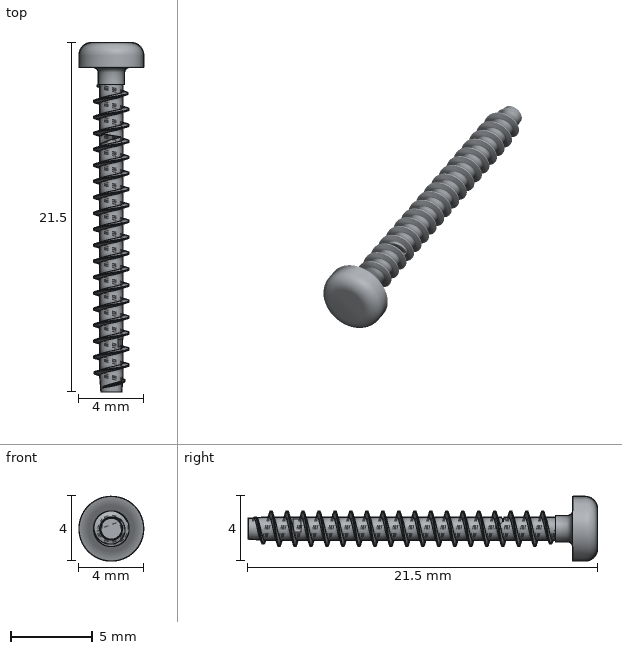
import cadquery as cq
import math

length = 21.5

head_radius = 2.0
head_height = 1.55
head_round = 0.8
head_edge_round = 0.06
neck_radius = 0.82
neck_fillet = 0.3
neck_end = 2.6

core_diameter = 1.45
core_radius = core_diameter / 2
tip_radius = 0.65
tip_taper_start = 20.53

counted_turns = 17
counted_length = 16.7
pitch = counted_length / counted_turns
thread_radius = 1.1
thread_start_radius = 0.88
core_overlap = 0.13
root_radius = core_radius - core_overlap
crest_width = 0.06
root_width = 0.32
first_crest = 2.15
thread_start = 2.67
full_thread_start = 3.38
taper_start = 20.25
thread_end = 21.3
thread_end_radius = 0.62
turns_per_piece = 0.9
segment_points = 25

notch_apex_x = 0.7
notch_outer_x = -0.97
notch_apex = 5.8
notch_near = 5.55
notch_far = 6.4
notch_floor = 0.24
notch_floor_angle = 20.0

flat_start = 18.25
flat_length = 0.47
flat_distance = 0.58
flat_angle = 20.0

cutter_size = 4 * core_radius


def make_body():
    """Revolve the head, filleted neck, core and tapered tip."""
    diagonal = math.sqrt(0.5)
    edge_end = head_height - head_edge_round
    profile = (
        cq.Workplane("XZ")
        .lineTo(head_radius - head_round, 0)
        .radiusArc((head_radius, head_round), -head_round)
        .lineTo(head_radius, edge_end)
        .radiusArc((head_radius - head_edge_round, head_height), -head_edge_round)
        .lineTo(neck_radius + neck_fillet, head_height)
        .threePointArc(
            (
                neck_radius + neck_fillet * (1 - diagonal),
                head_height + neck_fillet * (1 - diagonal),
            ),
            (neck_radius, head_height + neck_fillet),
        )
        .lineTo(neck_radius, neck_end)
        .lineTo(core_radius, neck_end)
        .lineTo(core_radius, tip_taper_start)
        .lineTo(tip_radius, length)
        .lineTo(0, length)
        .close()
    )
    return profile.revolve(360, (0, 0, 0), (0, 1, 0))


def make_notch():
    """Triangular wedge standing on the tilted floor of the notch."""
    wedge = (
        cq.Workplane("XZ", origin=(0, notch_floor, 0))
        .moveTo(notch_apex_x, notch_apex)
        .lineTo(notch_outer_x, notch_near)
        .lineTo(notch_outer_x, notch_far)
        .close()
        .extrude(-cutter_size)
    )
    return wedge.rotate((0, 0, 0), (0, 0, 1), notch_floor_angle)


def make_flat():
    """Block that cuts the shallow flat near the tip."""
    block = cq.Workplane("XY").box(
        cutter_size, cutter_size, flat_length, centered=(False, True, False)
    )
    block = block.translate((flat_distance, 0, flat_start))
    return block.rotate((0, 0, 0), (0, 0, 1), flat_angle)


def crest_radius(depth):
    """Radius of the thread crest, reduced at the run-in and the run-out."""
    if depth < full_thread_start:
        share = (depth - thread_start) / (full_thread_start - thread_start)
        return thread_start_radius + share * (thread_radius - thread_start_radius)
    if depth > taper_start:
        share = (depth - taper_start) / (thread_end - taper_start)
        return thread_radius + share * (thread_end_radius - thread_radius)
    return thread_radius


def make_thread_segment(start, end):
    """Solid piece of the trapezoidal thread between two depths."""

    def helical_edge(radius_at, offset):
        points = []
        for i in range(segment_points):
            depth = start + (end - start) * i / (segment_points - 1)
            angle = 2 * math.pi * (depth - first_crest) / pitch
            radius = radius_at(depth)
            points.append(
                cq.Vector(radius * math.cos(angle), radius * math.sin(angle), depth + offset)
            )
        return cq.Edge.makeSpline(points)

    def root_at(depth):
        return root_radius

    edges = [
        helical_edge(root_at, -root_width / 2),
        helical_edge(crest_radius, -crest_width / 2),
        helical_edge(crest_radius, crest_width / 2),
        helical_edge(root_at, root_width / 2),
    ]
    faces = [cq.Face.makeRuledSurface(edges[i - 1], edges[i]) for i in range(4)]
    for position in (0, 1):
        corners = [edge.positionAt(position) for edge in edges]
        faces.append(cq.Face.makeFromWires(cq.Wire.makePolygon(corners, close=True)))
    return cq.Solid.makeSolid(cq.Shell.makeShell(faces))


def make_thread():
    """List the thread pieces: run-in, full-height pieces and run-out."""
    full_length = taper_start - full_thread_start
    piece_count = math.ceil(full_length / (pitch * turns_per_piece))
    step = full_length / piece_count
    pieces = [make_thread_segment(thread_start, full_thread_start)]
    for i in range(piece_count):
        start = full_thread_start + i * step
        pieces.append(make_thread_segment(start, start + step))
    pieces.append(make_thread_segment(taper_start, thread_end))
    return pieces


body = make_body().cut(make_notch()).cut(make_flat())
screw = body
for piece in make_thread():
    screw = screw.union(cq.Workplane(obj=piece))
result = screw.rotate((0, 0, 0), (1, 0, 0), 90).translate((0, head_height, 0))